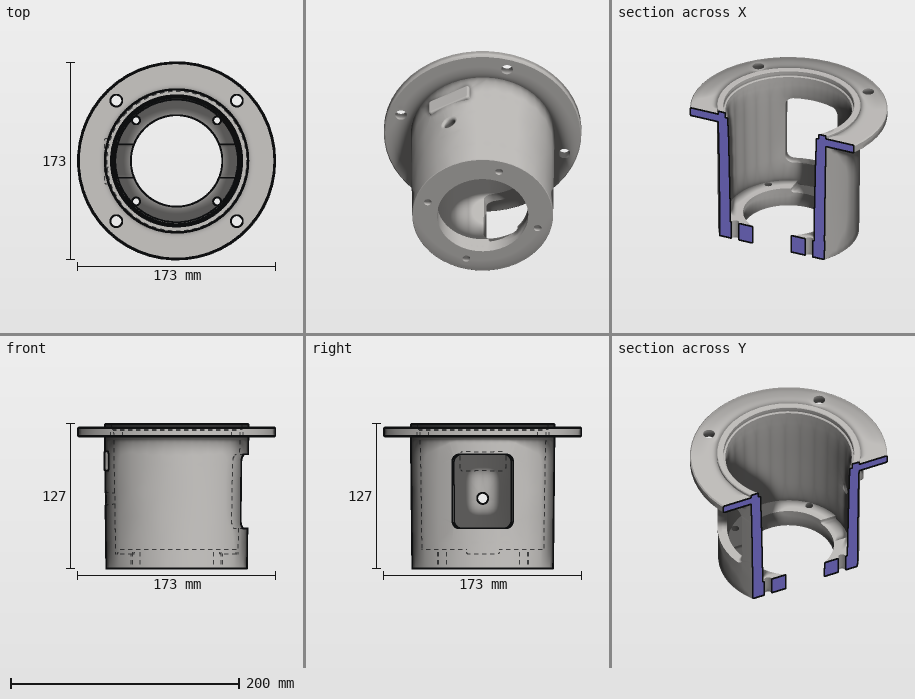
import cadquery as cq
import math

total_height = 127.0
rim_height = 3.0
flange_thickness = 8.3
flange_top = total_height - rim_height
flange_bottom = flange_top - flange_thickness
land_height = 1.7
land_bottom = flange_bottom - land_height

flange_radius = 86.5
flange_chamfer = 1.0
land_radius = 63.0
rim_chamfer = 0.7
bottom_radius = 61.8
bottom_chamfer = 0.5

floor_thickness = 17.3
pilot_radius = 40.0
cavity_bottom_radius = 53.6
cavity_top_radius = 55.4
rim_bore_radius = 57.0
rim_bore_depth = 4.7
rim_bore_chamfer = 0.5
cavity_chamfer = 0.7

flange_hole_diameter = 10.2
flange_hole_offset = 52.8
floor_hole_diameter = 6.7
floor_hole_offset = 35.5

channel_width = 29.0
channel_depth = 4.0
channel_fillet = 2.0

window_outer_width = 53.6
window_inner_width = 49.8
window_bottom = 35.5
window_top = 100.3
window_corner_radius = 7.0

side_hole_outer_diameter = 11.0
side_hole_inner_diameter = 9.3
side_hole_height = 61.8
side_hole_mouth_fillet = 2.2
mouth_search_margin = 7.0
mouth_search_depth = 2.6

pad_width = 40.0
pad_height = 17.0
pad_center_height = 94.5
pad_face_distance = 63.3
pad_depth = 7.0
pad_corner_radius = 2.6
pad_edge_fillet = 1.7


def turned_body():
    """Flanged outside, drafted below the flange."""
    outline = [
        (0, 0),
        (bottom_radius - bottom_chamfer, 0),
        (bottom_radius, bottom_chamfer),
        (land_radius, land_bottom),
        (land_radius, flange_bottom),
        (flange_radius - flange_chamfer, flange_bottom),
        (flange_radius, flange_bottom + flange_chamfer),
        (flange_radius, flange_top - flange_chamfer),
        (flange_radius - flange_chamfer, flange_top),
        (land_radius, flange_top),
        (land_radius, total_height - rim_chamfer),
        (land_radius - rim_chamfer, total_height),
        (0, total_height),
    ]
    return cq.Workplane("XZ").polyline(outline).close().revolve(360, (0, 0), (0, 1))


def cavity():
    """Drafted cavity with a stepped mouth, and the pilot bore through the floor."""
    rim_bore_bottom = total_height - rim_bore_depth
    outline = [
        (0, 0),
        (pilot_radius, 0),
        (pilot_radius, floor_thickness),
        (cavity_bottom_radius, floor_thickness),
        (cavity_top_radius, rim_bore_bottom - cavity_chamfer),
        (cavity_top_radius + cavity_chamfer, rim_bore_bottom),
        (rim_bore_radius, rim_bore_bottom),
        (rim_bore_radius, total_height - rim_bore_chamfer),
        (rim_bore_radius + rim_bore_chamfer, total_height),
        (0, total_height),
    ]
    return cq.Workplane("XZ").polyline(outline).close().revolve(360, (0, 0), (0, 1))


def nameplate_pad():
    """Raised pad with a flat face, rooted in the wall."""
    return (
        cq.Workplane("YZ", origin=(-pad_face_distance, 0, pad_center_height))
        .rect(pad_width, pad_height)
        .extrude(pad_depth)
        .edges("|X")
        .fillet(pad_corner_radius)
        .faces("<X")
        .edges()
        .fillet(pad_edge_fillet)
    )


def bolt_holes(diameter, offset):
    """Four vertical through holes, one in each quadrant."""
    return (
        cq.Workplane("XY")
        .rect(2 * offset, 2 * offset, forConstruction=True)
        .vertices()
        .circle(diameter / 2)
        .extrude(total_height)
    )


def floor_channel():
    """Recess along X across the floor, rounded at its lower edges, within the cavity wall."""
    channel_bottom = floor_thickness - channel_depth
    slot = (
        cq.Workplane("XY", origin=(0, 0, channel_bottom))
        .rect(2 * cavity_bottom_radius, channel_width)
        .extrude(channel_depth)
        .edges("|X and <Z")
        .fillet(channel_fillet)
    )
    boundary = cq.Workplane("XY").circle(cavity_bottom_radius).extrude(floor_thickness)
    return slot.intersect(boundary)


def window():
    """Round-cornered opening through the +X wall, narrowing toward the axis."""
    inner_half = window_inner_width / 2
    outer_half = window_outer_width / 2
    inner_x = math.sqrt(cavity_bottom_radius**2 - inner_half**2)
    outer_x = math.sqrt(land_radius**2 - outer_half**2)
    side_slope = (outer_half - inner_half) / (outer_x - inner_x)
    start_half = inner_half - side_slope * inner_x
    end_half = outer_half + side_slope * (flange_radius - outer_x)
    plan = [
        (0, -start_half),
        (flange_radius, -end_half),
        (flange_radius, end_half),
        (0, start_half),
    ]
    return (
        cq.Workplane("XY", origin=(0, 0, window_bottom))
        .polyline(plan)
        .close()
        .extrude(window_top - window_bottom)
        .faces(">Y or <Y")
        .edges(">Z or <Z")
        .fillet(window_corner_radius)
    )


def side_hole():
    """Radial hole through the -X wall, narrowing inward."""
    return cq.Workplane(
        cq.Solid.makeCone(
            side_hole_outer_diameter / 2,
            side_hole_inner_diameter / 2,
            land_radius - cavity_bottom_radius,
            cq.Vector(-land_radius, 0, side_hole_height),
            cq.Vector(1, 0, 0),
        )
    )


def side_hole_mouth():
    """Selector for the outer edge of the side hole."""
    return cq.selectors.BoxSelector(
        (
            -land_radius - mouth_search_depth,
            -mouth_search_margin,
            side_hole_height - mouth_search_margin,
        ),
        (
            -land_radius + mouth_search_depth,
            mouth_search_margin,
            side_hole_height + mouth_search_margin,
        ),
    )


result = turned_body().union(nameplate_pad()).cut(cavity())
result = result.cut(bolt_holes(flange_hole_diameter, flange_hole_offset))
result = result.cut(bolt_holes(floor_hole_diameter, floor_hole_offset))
result = result.cut(floor_channel())
result = result.cut(window())
result = result.cut(side_hole())
result = result.edges(side_hole_mouth()).fillet(side_hole_mouth_fillet)